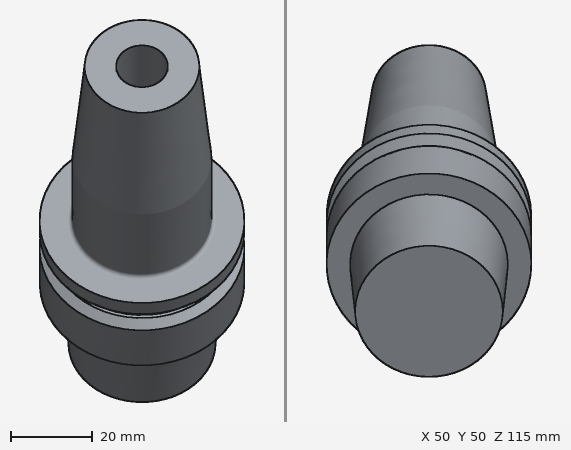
import cadquery as cq
import math

shank_length = 25.0
flange_height = 26.0
nose_top = 90.0

shank_large_diameter = 38.5
shank_small_diameter = 36.0
flange_diameter = 50.0
neck_diameter = 34.0
nose_diameter = 28.0

nose_half_angle = 4.5
nose_length = (neck_diameter - nose_diameter) / 2 / math.tan(math.radians(nose_half_angle))
neck_top = nose_top - nose_length

groove_center = 18.0
groove_floor_width = 3.75
groove_floor_diameter = 43.0
groove_ledge_diameter = 44.8
groove_flank_angle = 30.0

neck_fillet = 1.0
bore_diameter = 12.6
bore_depth = 40.0


def solid_of_revolution(profile):
    return profile.close().revolve(360, (0, 0, 0), (0, 1, 0))


def make_shank():
    profile = (
        cq.Workplane("XZ")
        .moveTo(0, -shank_length)
        .lineTo(shank_small_diameter / 2, -shank_length)
        .lineTo(shank_large_diameter / 2, 0)
        .lineTo(0, 0)
    )
    return solid_of_revolution(profile)


def make_flange():
    flange_radius = flange_diameter / 2
    floor_radius = groove_floor_diameter / 2
    ledge_radius = groove_ledge_diameter / 2
    flank_height = (flange_radius - ledge_radius) * math.tan(math.radians(groove_flank_angle))
    floor_half = groove_floor_width / 2
    mouth_half = floor_half + flank_height
    profile = (
        cq.Workplane("XZ")
        .lineTo(flange_radius, 0)
        .lineTo(flange_radius, groove_center - mouth_half)
        .lineTo(ledge_radius, groove_center - floor_half)
        .lineTo(floor_radius, groove_center - floor_half)
        .lineTo(floor_radius, groove_center + floor_half)
        .lineTo(ledge_radius, groove_center + floor_half)
        .lineTo(flange_radius, groove_center + mouth_half)
        .lineTo(flange_radius, flange_height)
        .lineTo(0, flange_height)
    )
    return solid_of_revolution(profile)


def make_neck_and_nose():
    neck_radius = neck_diameter / 2
    foot_radius = neck_radius + neck_fillet
    profile = (
        cq.Workplane("XZ")
        .moveTo(0, flange_height)
        .lineTo(foot_radius, flange_height)
        .radiusArc((neck_radius, flange_height + neck_fillet), neck_fillet)
        .lineTo(neck_radius, neck_top)
        .lineTo(nose_diameter / 2, nose_top)
        .lineTo(0, nose_top)
    )
    return solid_of_revolution(profile)


def make_bore():
    bore_floor = nose_top - bore_depth
    return cq.Workplane("XY").workplane(offset=bore_floor).circle(bore_diameter / 2).extrude(bore_depth)


result = make_shank().union(make_flange()).union(make_neck_and_nose()).cut(make_bore())